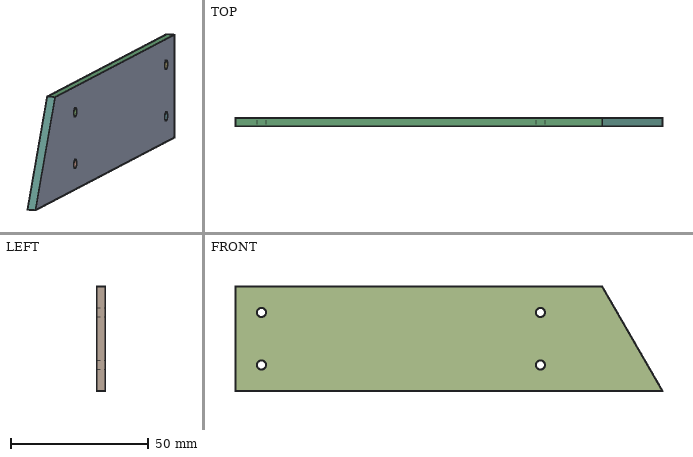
import cadquery as cq
import math

length = 155.4
thickness = 3.1
height = 38.0
end_angle = 30.0
top_length = length - height * math.tan(math.radians(end_angle))

hole_diameter = 3.3
hole_inset = 9.5
hole_spacing = 101.5

plate = (
    cq.Workplane("XZ")
    .polyline([(0, 0), (length, 0), (top_length, height), (0, height)])
    .close()
    .extrude(-thickness)
)

hole_centers = [
    (x, z)
    for x in (hole_inset, hole_inset + hole_spacing)
    for z in (hole_inset, height - hole_inset)
]
holes = (
    cq.Workplane("XZ")
    .pushPoints(hole_centers)
    .circle(hole_diameter / 2)
    .extrude(-thickness)
)

result = plate.cut(holes)